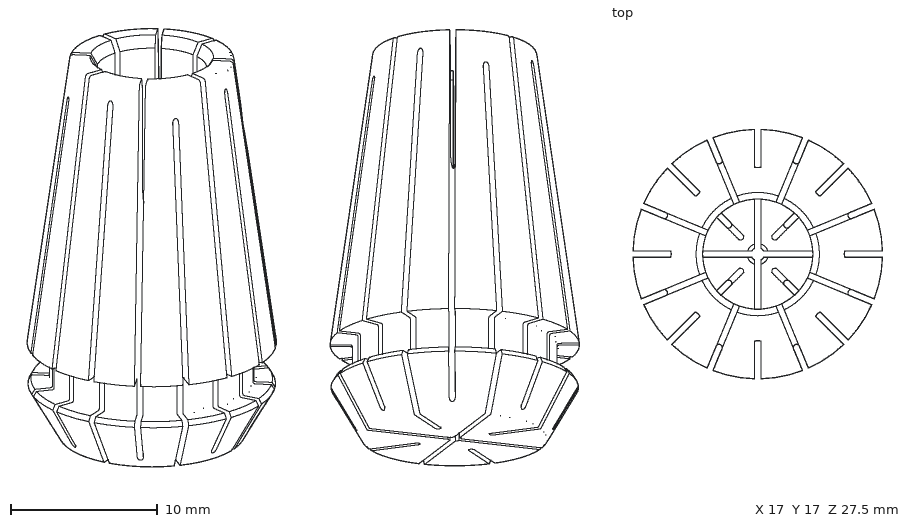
import cadquery as cq
import math

LENGTH = 27.5
MAX_RADIUS = 8.5
TAPER_ANGLE = 8.0

COLLAR_TOP = 4.05
COLLAR_ANGLE = 30.0
NOSE_RADIUS = 6.31
GROOVE_TOP = 6.7
GROOVE_RADIUS = 6.97
GROOVE_FILLET = 0.15
COLLAR_CHAMFER = 0.42
NOSE_FILLET = 0.1
TOP_FILLET = 0.25

BORE_RADIUS = 3.75
BORE_FLOOR = 14.5
BORE_FLOOR_FILLET = 0.77
BORE_MOUTH_RADIUS = 4.2
BORE_MOUTH_DEPTH = 0.8
HOLE_RADIUS = 0.45
HOLE_MOUTH_RADIUS = 0.72
HOLE_MOUTH_DEPTH = 1.2

SLOT_WIDTH = 0.42
NOSE_SLOT_COUNT = 4
NOSE_SLOT_STEP = 360 / NOSE_SLOT_COUNT
UPPER_SLOT_COUNT = 2 * NOSE_SLOT_COUNT
UPPER_SLOT_STEP = 360 / UPPER_SLOT_COUNT
CROSS_END_RADIUS, CROSS_END_Z, CROSS_END_ANGLE = 5.92, 25.2, 60.0
DIAGONAL_TOP_RADIUS, DIAGONAL_TOP_Z, DIAGONAL_TOP_ANGLE = 5.75, 26.2, 69.8
DIAGONAL_NOSE_RADIUS, DIAGONAL_NOSE_ANGLE = 2.6, 74.0
UPPER_END_RADIUS, UPPER_END_Z, UPPER_END_ANGLE = 6.7, 0.5, 80.5
CLEARANCE = 2.0
EDGE_TOLERANCE = 0.01


def tan_deg(angle):
    return math.tan(math.radians(angle))


def rim(solid, radius, z):
    """Select the circular edge of the given radius at the given height."""
    limit = radius + EDGE_TOLERANCE
    slab = cq.selectors.BoxSelector(
        (-limit, -limit, z - EDGE_TOLERANCE),
        (limit, limit, z + EDGE_TOLERANCE),
        boundingbox=True,
    )
    return solid.edges(slab).edges(cq.selectors.RadiusNthSelector(-1))


def make_body():
    """Turned outside: nose cone, extraction groove and long taper."""
    top_radius = MAX_RADIUS - (LENGTH - GROOVE_TOP) * tan_deg(TAPER_ANGLE)
    collar_radius = NOSE_RADIUS + COLLAR_TOP * tan_deg(COLLAR_ANGLE)
    body = (
        cq.Workplane("XZ")
        .moveTo(0, 0)
        .lineTo(NOSE_RADIUS, 0)
        .lineTo(collar_radius, COLLAR_TOP)
        .lineTo(GROOVE_RADIUS, COLLAR_TOP)
        .lineTo(GROOVE_RADIUS, GROOVE_TOP)
        .lineTo(MAX_RADIUS, GROOVE_TOP)
        .lineTo(top_radius, LENGTH)
        .lineTo(0, LENGTH)
        .close()
        .revolve(360, (0, 0, 0), (0, 1, 0))
    )

    body = rim(body, NOSE_RADIUS, 0).fillet(NOSE_FILLET)
    body = rim(body, collar_radius, COLLAR_TOP).chamfer(COLLAR_CHAMFER)
    body = rim(body, GROOVE_RADIUS, COLLAR_TOP).fillet(GROOVE_FILLET)
    body = rim(body, GROOVE_RADIUS, GROOVE_TOP).fillet(GROOVE_FILLET)
    return rim(body, top_radius, LENGTH).fillet(TOP_FILLET)


def make_bore():
    """Material inside the relief bore and the clamping hole, each with a flared mouth."""
    relief = (
        cq.Workplane("XY")
        .workplane(offset=BORE_FLOOR)
        .circle(BORE_RADIUS)
        .extrude(LENGTH - BORE_FLOOR)
        .faces("<Z")
        .edges()
        .fillet(BORE_FLOOR_FILLET)
    )
    mouth = cq.Workplane(
        cq.Solid.makeCone(
            BORE_RADIUS, BORE_MOUTH_RADIUS, BORE_MOUTH_DEPTH,
            pnt=cq.Vector(0, 0, LENGTH - BORE_MOUTH_DEPTH),
        )
    )
    hole = cq.Workplane("XY").circle(HOLE_RADIUS).extrude(BORE_FLOOR)
    hole_mouth = cq.Workplane(
        cq.Solid.makeCone(
            HOLE_RADIUS, HOLE_MOUTH_RADIUS, HOLE_MOUTH_DEPTH,
            pnt=cq.Vector(0, 0, BORE_FLOOR - HOLE_MOUTH_DEPTH),
        )
    )
    return relief.union(mouth).union(hole).union(hole_mouth)


def radial_slot(outline, angle):
    """Blade of slot width whose (radius, z) outline is turned to the given angle about Z."""
    blade = cq.Workplane("XZ").polyline(outline).close().extrude(SLOT_WIDTH / 2, both=True)
    return blade.rotate((0, 0, 0), (0, 0, 1), angle)


def round_end(start, finish, angle):
    """Cylinder of slot width that rounds a slot end running between two (radius, z) points."""
    run = cq.Vector(finish[0] - start[0], 0, finish[1] - start[1])
    rod = cq.Solid.makeCylinder(SLOT_WIDTH / 2, run.Length, cq.Vector(start[0], 0, start[1]), run)
    return cq.Workplane(rod).rotate((0, 0, 0), (0, 0, 1), angle)


def shifted_z(z, angle, direction):
    """Height of the rounding axis on the centre line, set back so the round just reaches the end line."""
    return z + direction * SLOT_WIDTH / 2 / math.cos(math.radians(angle))


def cut_cross_slots(part):
    """Cut the slots open at the nose that meet at the axis."""
    reach = MAX_RADIUS + CLEARANCE
    slope = tan_deg(CROSS_END_ANGLE)
    axis_z = shifted_z(CROSS_END_Z - CROSS_END_RADIUS * slope, CROSS_END_ANGLE, -1)
    inner = (0, axis_z)
    outer = (reach, axis_z + reach * slope)
    for index in range(NOSE_SLOT_COUNT):
        angle = NOSE_SLOT_STEP * index
        part = part.cut(radial_slot([(0, -CLEARANCE), (reach, -CLEARANCE), outer, inner], angle))
        part = part.cut(round_end(inner, outer, angle))
    return part


def cut_diagonal_slots(part):
    """Cut the slots open at the nose, halfway between the cross slots, with both ends sloped."""
    reach = MAX_RADIUS + CLEARANCE
    top_slope = tan_deg(DIAGONAL_TOP_ANGLE)
    top_z = shifted_z(DIAGONAL_TOP_Z - DIAGONAL_TOP_RADIUS * top_slope, DIAGONAL_TOP_ANGLE, -1)
    nose_slope = tan_deg(DIAGONAL_NOSE_ANGLE)
    nose_z = shifted_z(DIAGONAL_NOSE_RADIUS * nose_slope, DIAGONAL_NOSE_ANGLE, 1)
    top_inner = (0, top_z)
    top_outer = (reach, top_z + reach * top_slope)
    nose_inner = (0, nose_z)
    nose_outer = (reach, nose_z - reach * nose_slope)
    for index in range(NOSE_SLOT_COUNT):
        angle = NOSE_SLOT_STEP * (index + 0.5)
        part = part.cut(radial_slot([nose_inner, nose_outer, top_outer, top_inner], angle))
        part = part.cut(round_end(top_inner, top_outer, angle))
        part = part.cut(round_end(nose_inner, nose_outer, angle))
    return part


def cut_upper_slots(part):
    """Cut the slots open at the top, ending in the nose collar."""
    reach = MAX_RADIUS + CLEARANCE
    top = LENGTH + CLEARANCE
    slope = tan_deg(UPPER_END_ANGLE)
    axis_z = shifted_z(UPPER_END_Z + UPPER_END_RADIUS * slope, UPPER_END_ANGLE, 1)
    inner = ((axis_z - top) / slope, top)
    outer = (reach, axis_z - reach * slope)
    for index in range(UPPER_SLOT_COUNT):
        angle = UPPER_SLOT_STEP * (index + 0.5)
        part = part.cut(radial_slot([inner, outer, (reach, top)], angle))
        part = part.cut(round_end(inner, outer, angle))
    return part


result = make_body().cut(make_bore())
result = cut_cross_slots(result)
result = cut_diagonal_slots(result)
result = cut_upper_slots(result)